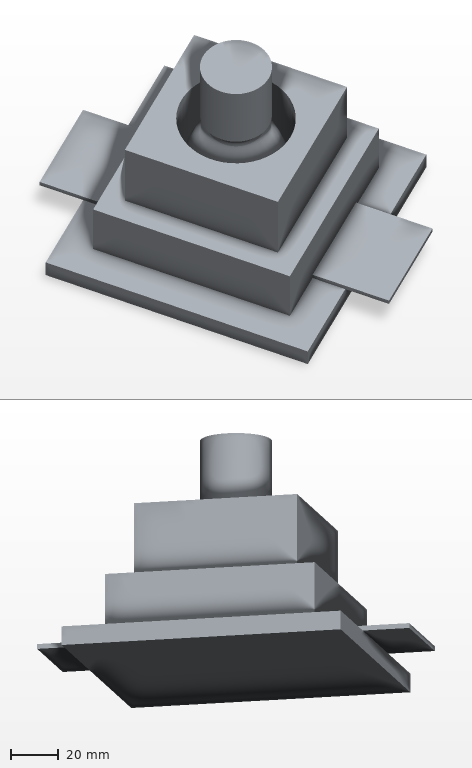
import cadquery as cq
import math

base_side = 120
base_height = 8
lower_side = 90.0
lower_height = 25.0
upper_side = 70.0
upper_height = 32
bore_radius = 25.0

overall_length = 160
tab_width = 44.0
tab_thickness = 2.0

boot_radius = 22.7
collar_radius = 12.0
shaft_radius = 11.5
collar_height = 1.5
boot_rise = 2.5
shaft_exposed = 5.0
knob_radius = 15.0
knob_height = 30.0

lower_bottom = base_height
upper_bottom = lower_bottom + lower_height
upper_top = upper_bottom + upper_height
boot_top = upper_top - boot_rise
collar_bottom = boot_top - collar_height
knob_bottom = boot_top + shaft_exposed


def square_block(side, height, bottom):
    """Square block centred on the Z axis."""
    return cq.Workplane("XY").workplane(offset=bottom).rect(side, side).extrude(height)


def cylinder(radius, height, bottom):
    """Upright cylinder on the Z axis."""
    return cq.Workplane("XY").workplane(offset=bottom).circle(radius).extrude(height)


def make_upper_housing():
    """Upper block with a through bore that leaves a gap around the boot."""
    block = square_block(upper_side, upper_height, upper_bottom)
    return block.cut(cylinder(bore_radius, upper_height, upper_bottom))


def make_tab(side):
    """Thin tab on the base plate, from the lower housing out to one end (side is -1 or 1)."""
    length = (overall_length - lower_side) / 2
    centre = side * (overall_length - length) / 2
    plane = cq.Workplane("XY").workplane(offset=lower_bottom)
    return plane.center(centre, 0).rect(length, tab_width).extrude(tab_thickness)


def make_boot():
    """Domed sleeve around the shaft: vertical at its foot, with a tapered collar on top."""
    dome_width = boot_radius - collar_radius
    dome_height = collar_bottom - upper_bottom
    dome_arc = (dome_width**2 + dome_height**2) / (2 * dome_width)
    half_angle = math.asin(dome_height / dome_arc) / 2
    middle = (
        boot_radius - dome_arc * (1 - math.cos(half_angle)),
        upper_bottom + dome_arc * math.sin(half_angle),
    )
    profile = (
        cq.Workplane("XZ")
        .moveTo(shaft_radius, upper_bottom)
        .lineTo(boot_radius, upper_bottom)
        .threePointArc(middle, (collar_radius, collar_bottom))
        .lineTo(shaft_radius, boot_top)
        .close()
    )
    return profile.revolve(360, (0, 0, 0), (0, 1, 0))


base_plate = square_block(base_side, base_height, 0)
lower_housing = square_block(lower_side, lower_height, lower_bottom)
upper_housing = make_upper_housing()
tabs = [make_tab(side) for side in (-1, 1)]
boot = make_boot()
shaft = cylinder(shaft_radius, knob_bottom - upper_bottom, upper_bottom)
knob = cylinder(knob_radius, knob_height, knob_bottom)

result = cq.Compound.makeCompound([
    base_plate.val(),
    lower_housing.val(),
    upper_housing.val(),
    *[tab.val() for tab in tabs],
    boot.val(),
    shaft.val(),
    knob.val(),
])